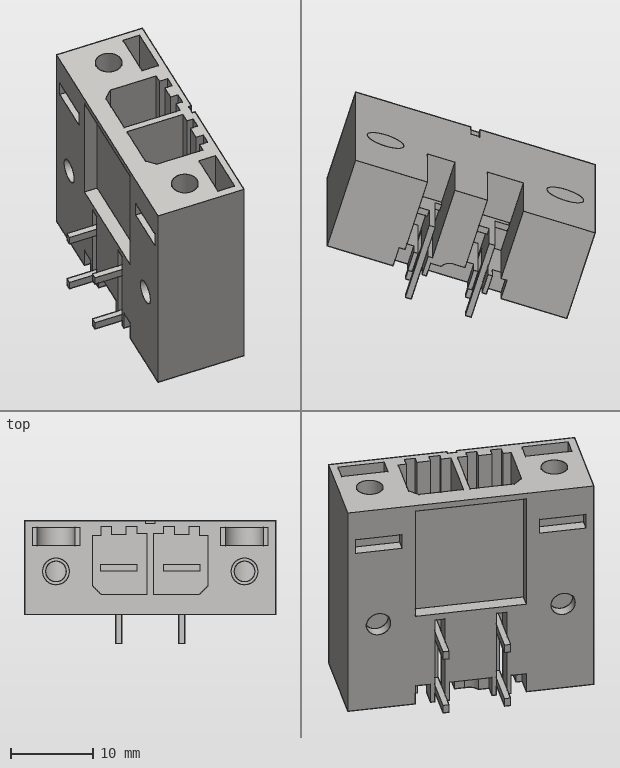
import cadquery as cq


WIDTH = 30.48
DEPTH = 11.4
HEIGHT = 28.3

PITCH = 7.62
CONTACT_XS = (-PITCH / 2, PITCH / 2)

FLANGE_X = 11.43
FLANGE_XS = (-FLANGE_X, FLANGE_X)

POCKET_FLOOR_Z = 12.5
POCKET_INNER_X = 0.4
POCKET_OUTER_X = 7.0
POCKET_FRONT_Y = 2.43
POCKET_CHAMFER = 1.07
POCKET_OUTER_BACK_Y = DEPTH - 1.82
POCKET_INNER_BACK_Y = DEPTH - 1.56
KEY_BACK_Y = DEPTH - 0.73
KEY_RIB_Y = DEPTH - 1.7
KEY_OUTER_HALF = 2.19
KEY_RIB_HALF = 0.86

RECESS_WIDTH = 13.72
RECESS_TOP_Z = 27.5
RECESS_DEPTH = 1.7

FRONT_WALL = POCKET_FRONT_Y
CHAMBER_HALF_WIDTH = 2.29
CHAMBER_TOP_Z = 11.65
MIDDLE_WALL_RIGHT_X = 2.62

PIN_SLOT_WIDTH = 1.27

NOTCH_HEIGHT = 2.57
SIDE_NOTCH_OUTER_X = RECESS_WIDTH / 2
SIDE_NOTCH_WIDTH = 1.86
CENTER_NOTCH_HALF_WIDTH = MIDDLE_WALL_RIGHT_X
CENTER_NOTCH_STEP_X = -0.3
CENTER_NOTCH_SHALLOW_DEPTH = 1.7
CENTER_NOTCH_ROUND_Y = 0.95
CENTER_NOTCH_ROUND_DIAMETER = 3.0

BACK_GROOVE_WIDTH = 1.15
BACK_GROOVE_DEPTH = 0.36
BACK_GROOVE_LENGTH = 3.0

LATCH_WIDTH = 5.74
LATCH_X = 11.39
LATCH_BACK_WALL = 0.82
LATCH_THICKNESS = 2.2
WINDOW_BOTTOM_Z = 22.42
WINDOW_HEIGHT = 1.94
WINDOW_DEPTH = 1.46
INSERT_DIAMETER = 4.66
INSERT_Z = 11.96
FRONT_HOLE_DIAMETER = 3.0
FRONT_HOLE_DEPTH = 1.46
SCREW_Y = DEPTH - 6.16
SCREW_DIAMETER = 2.5
SCREW_ENTRY_DIAMETER = 3.24
SCREW_ENTRY_DEPTH = 5.0

SHEET = 0.76
BLADE_WIDTH = 4.4
BLADE_TOP_Z = 21.0
BLADE_BOTTOM_Z = 10.57
BLADE_Y = DEPTH / 2
TAB_BOTTOM_Z = 6.7
LEG_FRONT_Y = 3.0
PIN_TIP_Y = -3.5
PIN_HEIGHT = 1.08
UPPER_PIN_Z = 8.14
LOWER_PIN_Z = 0.5


def block(x_range, y_range, z_range):
    """Box between the given limits on each axis."""
    (x0, x1), (y0, y1), (z0, z1) = x_range, y_range, z_range
    return cq.Workplane("XY").box(x1 - x0, y1 - y0, z1 - z0, centered=False).translate((x0, y0, z0))


def around(center, size):
    """Limits of a span of the given size about a center."""
    return (center - size / 2, center + size / 2)


def cylinder_along_y(x, z, diameter, y0, y1):
    return cq.Workplane("XZ", origin=(x, y1, z)).circle(diameter / 2).extrude(y1 - y0)


def cylinder_along_z(x, y, diameter, z0, z1):
    return cq.Workplane("XY", origin=(x, y, z0)).circle(diameter / 2).extrude(z1 - z0)


def make_pocket():
    """Keyed plug pocket at the right-hand contact position."""
    middle = PITCH / 2
    outline = [
        (POCKET_INNER_X, POCKET_FRONT_Y),
        (POCKET_OUTER_X - POCKET_CHAMFER, POCKET_FRONT_Y),
        (POCKET_OUTER_X, POCKET_FRONT_Y + POCKET_CHAMFER),
        (POCKET_OUTER_X, POCKET_OUTER_BACK_Y),
        (middle + KEY_OUTER_HALF, POCKET_OUTER_BACK_Y),
        (middle + KEY_OUTER_HALF, KEY_BACK_Y),
        (middle + KEY_RIB_HALF, KEY_BACK_Y),
        (middle + KEY_RIB_HALF, KEY_RIB_Y),
        (middle - KEY_RIB_HALF, KEY_RIB_Y),
        (middle - KEY_RIB_HALF, KEY_BACK_Y),
        (middle - KEY_OUTER_HALF, KEY_BACK_Y),
        (middle - KEY_OUTER_HALF, POCKET_INNER_BACK_Y),
        (POCKET_INNER_X, POCKET_INNER_BACK_Y),
    ]
    profile = cq.Workplane("XY").workplane(offset=POCKET_FLOOR_Z).polyline(outline).close()
    return profile.extrude(HEIGHT - POCKET_FLOOR_Z)


def make_contact(x):
    """Flat blade with an offset tab, turned into an upright leg with two solder pins."""
    blade_y = around(BLADE_Y, SHEET)
    leg_x = around(x, SHEET)
    leg_top_z = UPPER_PIN_Z + PIN_HEIGHT
    blade = block(around(x, BLADE_WIDTH), blade_y, (BLADE_BOTTOM_Z, BLADE_TOP_Z))
    tab = block((leg_x[0], x + BLADE_WIDTH / 2), blade_y, (TAB_BOTTOM_Z, BLADE_BOTTOM_Z))
    leg = block(leg_x, (LEG_FRONT_Y, blade_y[1]), (LOWER_PIN_Z, leg_top_z))
    contact = blade.union(tab).union(leg)
    for pin_z in (LOWER_PIN_Z, UPPER_PIN_Z):
        pin = block(leg_x, (PIN_TIP_Y, LEG_FRONT_Y), (pin_z, pin_z + PIN_HEIGHT))
        contact = contact.union(pin)
    return contact


def make_insert(x):
    """Cylindrical fastening insert, flush with the back face."""
    return cylinder_along_y(x, INSERT_Z, INSERT_DIAMETER, FRONT_HOLE_DEPTH, DEPTH)


def cut_contact_position(body, x):
    """Chamber open to the back and bottom, front pin slot, and slit for the blade."""
    chamber_left_x = x - CHAMBER_HALF_WIDTH
    if x > 0:
        chamber_left_x = MIDDLE_WALL_RIGHT_X
    chamber = block((chamber_left_x, x + CHAMBER_HALF_WIDTH), (FRONT_WALL, DEPTH), (0, CHAMBER_TOP_Z))
    pin_slot = block(around(x, PIN_SLOT_WIDTH), (0, FRONT_WALL), (0, CHAMBER_TOP_Z))
    blade_slit = block(around(x, BLADE_WIDTH), around(BLADE_Y, SHEET), (BLADE_BOTTOM_Z, POCKET_FLOOR_Z))
    return body.cut(chamber).cut(pin_slot).cut(blade_slit)


def cut_fastening_end(body, side):
    """Latch slot, window, insert bore and screw holes; side is -1 for left, 1 for right."""
    x = side * FLANGE_X
    latch_x = around(side * LATCH_X, LATCH_WIDTH)
    latch_back_y = DEPTH - LATCH_BACK_WALL
    latch_slot = block(latch_x, (latch_back_y - LATCH_THICKNESS, latch_back_y), (INSERT_Z, HEIGHT))
    window = block(latch_x, (0, WINDOW_DEPTH), (WINDOW_BOTTOM_Z, WINDOW_BOTTOM_Z + WINDOW_HEIGHT))
    front_hole = cylinder_along_y(x, INSERT_Z, FRONT_HOLE_DIAMETER, 0, FRONT_HOLE_DEPTH)
    screw_hole = cylinder_along_z(x, SCREW_Y, SCREW_DIAMETER, INSERT_Z, HEIGHT)
    screw_entry = cylinder_along_z(x, SCREW_Y, SCREW_ENTRY_DIAMETER, HEIGHT - SCREW_ENTRY_DEPTH, HEIGHT)
    for cutter in (latch_slot, window, front_hole, screw_hole, screw_entry, make_insert(x)):
        body = body.cut(cutter)
    return body


def cut_lower_notches(body):
    """Three notches in the lower front edge, the middle one stepped in depth with a rounded step."""
    notch_z = (0, NOTCH_HEIGHT)
    side_notch_x = SIDE_NOTCH_OUTER_X - SIDE_NOTCH_WIDTH / 2
    for x in (-side_notch_x, side_notch_x):
        body = body.cut(block(around(x, SIDE_NOTCH_WIDTH), (0, FRONT_WALL), notch_z))
    deep_x = (-CENTER_NOTCH_HALF_WIDTH, CENTER_NOTCH_STEP_X)
    shallow_x = (CENTER_NOTCH_STEP_X, CENTER_NOTCH_HALF_WIDTH)
    deep_part = block(deep_x, (0, FRONT_WALL), notch_z)
    shallow_part = block(shallow_x, (0, CENTER_NOTCH_SHALLOW_DEPTH), notch_z)
    round_part = cylinder_along_z(0, CENTER_NOTCH_ROUND_Y, CENTER_NOTCH_ROUND_DIAMETER, 0, NOTCH_HEIGHT)
    return body.cut(deep_part).cut(shallow_part).cut(round_part)


def make_housing():
    body = block(around(0, WIDTH), (0, DEPTH), (0, HEIGHT))

    pocket = make_pocket()
    body = body.cut(pocket).cut(pocket.mirror("YZ"))

    recess = block(around(0, RECESS_WIDTH), (0, RECESS_DEPTH), (POCKET_FLOOR_Z, RECESS_TOP_Z))
    groove_z = (HEIGHT - BACK_GROOVE_LENGTH, HEIGHT)
    back_groove = block(around(0, BACK_GROOVE_WIDTH), (DEPTH - BACK_GROOVE_DEPTH, DEPTH), groove_z)
    body = body.cut(recess).cut(back_groove)

    for x in CONTACT_XS:
        body = cut_contact_position(body, x)
    for side in (-1, 1):
        body = cut_fastening_end(body, side)
    return cut_lower_notches(body)


housing = make_housing()
contacts = [make_contact(x) for x in CONTACT_XS]
inserts = [make_insert(x) for x in FLANGE_XS]

solids = [housing.solids().val()]
solids += [contact.solids().val() for contact in contacts]
solids += [insert.val() for insert in inserts]
result = cq.Compound.makeCompound(solids)